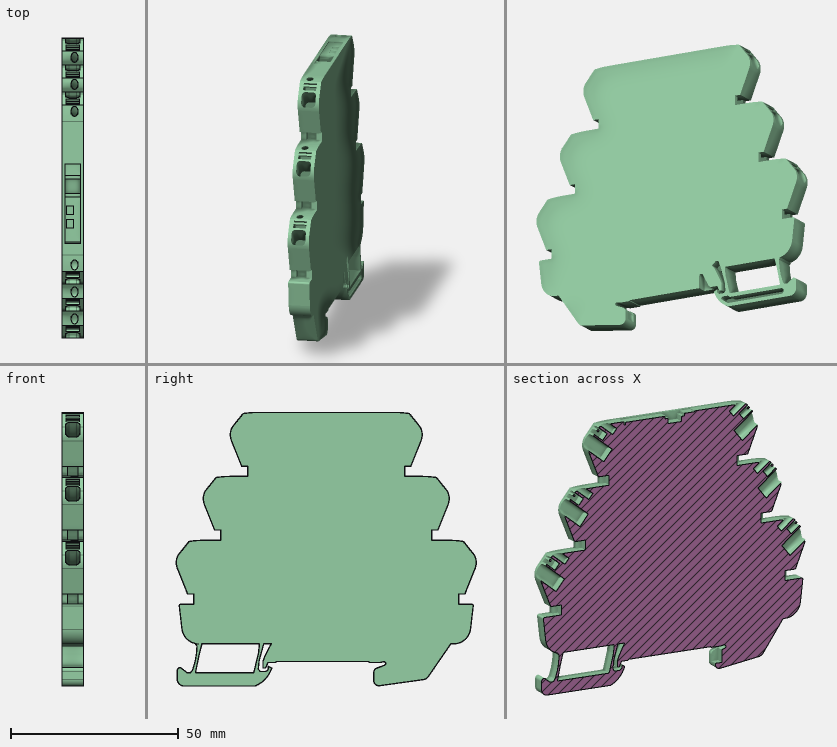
import cadquery as cq
import math

LENGTH = 89.4
HEIGHT = 81.5
THICKNESS = 6.4

TIER_COUNT = 3
TIER_DROP = 19.0
TIER_STEP = 8.0
TIER_DEPTH = 16.1
CROWN_INSET = 8.8
CROWN_DROP = 0.4
CHAMFER_TOP_INSET = 3.8
CHAMFER_END_INSET = 0.6
CHAMFER_END_DROP = 4.4
NOSE_DROP = 6.6
NOSE_END_INSET = 0.4
NOSE_END_DROP = 8.5
FOOT_INSET = 3.4
NECK_INSET = 5.2
NECK_SLOT_WIDTH = 3.1
NECK_SLOT_DEPTH = 1.8

BEVEL_RUN = CHAMFER_TOP_INSET - CHAMFER_END_INSET
BEVEL_FALL = CHAMFER_END_DROP - CROWN_DROP
BEVEL_LENGTH = math.hypot(BEVEL_RUN, BEVEL_FALL)
WIRE_WIDTH = 4.3
WIRE_HEIGHT = 4.4
WIRE_CORNER = 1.1
WIRE_DEPTH = 8.0
WIRE_POSITION = 5.6
LATCH_WIDTH = 3.9
LATCH_HEIGHT = 2.3
LATCH_DEPTH = 3.6
LATCH_POSITION = 1.7
LATCH_BAR = 0.6
LATCH_BAR_DEPTH = 0.7
LATCH_BAR_RISE = 0.4
DRIVER_DIAMETER = 2.1
DRIVER_DEPTH = 5.4
DRIVER_INSET = 6.0
DRIVER_OFFSET_X = 0.5
CUTTER_LEAD = 2.7

BASE_TOP = HEIGHT - TIER_COUNT * TIER_DROP
BASE_BOTTOM = 12.5
BASE_HALF = 43.8
BASE_CORNER = 0.5

HOOK_TIP = 14.1
HOOK_SLOT_WIDTH = 3.2
HOOK_SLOT_DEPTH = 2.2
HOOK_SLOT_FLOOR = 2.0
HOOK_SLOT_TOP = 6.7

SIDE_RECESS = 3.2

COVER_WIDTH = 4.5
COVER_FRONT = -16.5
COVER_BACK = 7.15
COVER_RECESS = 0.3
COVER_GAP = 0.45
WINDOW_FRONT = -1.6
WINDOW_BACK = 2.8
WINDOW_DEPTH = 2.7
WINDOW_LEDGE = 1.0
WINDOW_LEDGE_DEPTH = 0.8
LAMP_WIDTH = 2.0
LAMP_LENGTH = 2.5
LAMP_RECESS = 0.1
LAMP_X = -0.8
LAMP_CENTRES = (-6.6, -10.6)


def side_plane():
    """Sketch plane on the -X face with local axes Y and Z, extruding toward +X."""
    return cq.Workplane("YZ", origin=(-THICKNESS / 2, 0, 0))


def block(x_size, y_front, y_back, z_bottom, z_top, x_centre=0.0):
    """Box between the given Y and Z limits, centred on x_centre."""
    size = (x_size, y_back - y_front, z_top - z_bottom)
    return (
        cq.Workplane("XY")
        .box(*size)
        .translate((x_centre, (y_front + y_back) / 2, (z_bottom + z_top) / 2))
    )


def tier(half, top):
    """One tier with its neck, symmetric about Y = 0."""
    return (
        side_plane()
        .moveTo(0, top)
        .lineTo(half - CROWN_INSET, top)
        .tangentArcPoint((half - CHAMFER_TOP_INSET, top - CROWN_DROP), relative=False)
        .lineTo(half - CHAMFER_END_INSET, top - CHAMFER_END_DROP)
        .threePointArc((half, top - NOSE_DROP), (half - NOSE_END_INSET, top - NOSE_END_DROP))
        .lineTo(half - FOOT_INSET, top - TIER_DEPTH)
        .lineTo(half - NECK_INSET, top - TIER_DEPTH)
        .lineTo(half - NECK_INSET, top - TIER_DROP)
        .lineTo(0, top - TIER_DROP)
        .mirrorY()
        .extrude(THICKNESS)
    )


def base_block():
    """Widest part of the housing, with rounded lower corners."""
    return (
        side_plane()
        .moveTo(0, BASE_TOP)
        .lineTo(BASE_HALF - BASE_CORNER, BASE_TOP)
        .tangentArcPoint((BASE_HALF, BASE_TOP - BASE_CORNER), relative=False)
        .lineTo(43.0, 16.9)
        .threePointArc((41.4, 13.85), (38.0, BASE_BOTTOM))
        .lineTo(0, BASE_BOTTOM)
        .mirrorY()
        .extrude(THICKNESS)
    )


def rail_foot():
    """Lower body with the fixed rail hook at +Y and the clip stop at -Y."""
    return (
        side_plane()
        .moveTo(37.1, BASE_BOTTOM)
        .lineTo(30.6, 3.0)
        .threePointArc((29.9, 2.3), (29.0, 1.9))
        .lineTo(16.1, 0.1)
        .threePointArc((14.7, 0.45), (HOOK_TIP, 1.6))
        .lineTo(HOOK_TIP, 3.9)
        .threePointArc((14.4, 4.8), (15.1, 5.4))
        .lineTo(17.2, 6.2)
        .threePointArc((17.7, 6.7), (17.2, 7.2))
        .lineTo(16.1, 7.0)
        .lineTo(12.7, 7.0)
        .lineTo(12.7, 7.2)
        .lineTo(-14.9, 7.2)
        .lineTo(-14.9, 7.0)
        .lineTo(-17.3, 7.0)
        .lineTo(-18.05, 5.4)
        .lineTo(-18.9, 5.4)
        .lineTo(-18.9, 7.4)
        .lineTo(-18.3, 8.85)
        .lineTo(-16.4, BASE_BOTTOM)
        .close()
        .extrude(THICKNESS)
    )


def hook_slot():
    """Slot open toward the rail, dividing the hook tip into two prongs."""
    return block(
        HOOK_SLOT_WIDTH, HOOK_TIP, HOOK_TIP + HOOK_SLOT_DEPTH, HOOK_SLOT_FLOOR, HOOK_SLOT_TOP
    )


def clip():
    """Spring clip: foot bar with a lip and a grip, held by two thin struts."""
    bar_top = 4.0
    bar = (
        side_plane()
        .moveTo(-16.2, 5.4)
        .lineTo(-17.3, 5.9)
        .lineTo(-17.3, 5.0)
        .threePointArc((-17.7, 4.6), (-18.2, 4.4))
        .lineTo(-19.7, 4.4)
        .lineTo(-20.3, bar_top)
        .lineTo(-41.5, bar_top)
        .lineTo(-43.4, 5.5)
        .threePointArc((-44.15, 5.2), (-44.4, 4.4))
        .lineTo(-44.4, 2.0)
        .threePointArc((-44.0, 0.8), (-42.6, 0))
        .lineTo(-21.1, 0)
        .threePointArc((-18.1, 2.1), (-16.2, 5.4))
        .close()
        .extrude(THICKNESS)
    )
    inner_strut = (
        side_plane()
        .moveTo(-18.6, BASE_BOTTOM)
        .lineTo(-19.9, 7.7)
        .lineTo(-20.2, 5.0)
        .lineTo(-19.7, 4.4)
        .lineTo(-20.3, 3.6)
        .lineTo(-21.8, 3.6)
        .lineTo(-21.45, 4.65)
        .lineTo(-20.2, 9.8)
        .lineTo(-19.9, BASE_BOTTOM)
        .close()
        .extrude(THICKNESS)
    )
    outer_strut = (
        side_plane()
        .moveTo(-37.0, BASE_BOTTOM)
        .lineTo(-38.0, 8.6)
        .lineTo(-38.9, bar_top)
        .lineTo(-40.4, bar_top)
        .lineTo(-39.9, 4.7)
        .threePointArc((-38.9, 8.2), (-38.5, 11.9))
        .lineTo(-39.0, BASE_BOTTOM)
        .close()
        .extrude(THICKNESS)
    )
    return bar.union(inner_strut).union(outer_strut)


def side_recesses():
    """Blind recesses in the -X face around the clip."""
    bar_channel = (
        side_plane()
        .moveTo(-18.7, 2.7)
        .lineTo(-18.8, 3.1)
        .lineTo(-19.3, 3.4)
        .lineTo(-21.0, 3.4)
        .lineTo(-21.7, 2.9)
        .lineTo(-39.2, 2.9)
        .threePointArc((-40.1, 2.0), (-39.2, 1.1))
        .lineTo(-21.0, 1.1)
        .close()
        .extrude(SIDE_RECESS)
    )
    slot_end = (
        side_plane()
        .moveTo(-16.4, BASE_BOTTOM)
        .lineTo(-15.55, 13.7)
        .lineTo(-16.9, 14.8)
        .lineTo(-17.7, 14.75)
        .lineTo(-18.6, BASE_BOTTOM)
        .close()
        .extrude(SIDE_RECESS)
    )
    wedge = (
        side_plane()
        .moveTo(-11.2, 7.15)
        .lineTo(-11.2, 11.0)
        .threePointArc((-11.7, 11.6), (-12.4, 11.3))
        .lineTo(-14.6, 7.15)
        .close()
        .extrude(SIDE_RECESS)
    )
    return bar_channel.union(slot_end).union(wedge)


def neck_slot(half, top):
    """Central slot running into the -Y neck below a tier."""
    neck = half - NECK_INSET
    return block(
        NECK_SLOT_WIDTH, -neck, NECK_SLOT_DEPTH - neck, top - TIER_DROP, top - TIER_DEPTH
    )


def terminal_cutter(half, top):
    """Wire entry, latch pocket and screwdriver hole of the -Y end, all square to the bevel."""

    def bevel_plane(distance, lead):
        """Plane on the bevel line, a distance below its upper edge, facing into the housing."""
        along = distance / BEVEL_LENGTH
        normal_y = BEVEL_FALL / BEVEL_LENGTH
        normal_z = -BEVEL_RUN / BEVEL_LENGTH
        origin = (
            0,
            CHAMFER_TOP_INSET - half - BEVEL_RUN * along - normal_y * lead,
            top - CROWN_DROP - BEVEL_FALL * along - normal_z * lead,
        )
        return cq.Workplane(cq.Plane(origin, xDir=(1, 0, 0), normal=(0, normal_y, normal_z)))

    wire_profile = cq.Sketch().rect(WIRE_WIDTH, WIRE_HEIGHT).vertices().fillet(WIRE_CORNER)
    wire = (
        bevel_plane(WIRE_POSITION, CUTTER_LEAD)
        .placeSketch(wire_profile)
        .extrude(CUTTER_LEAD + WIRE_DEPTH)
    )
    latch = bevel_plane(LATCH_POSITION, 0).rect(LATCH_WIDTH, LATCH_HEIGHT).extrude(LATCH_DEPTH)
    bar_position = LATCH_POSITION - LATCH_BAR_RISE
    bar = bevel_plane(bar_position, 0).rect(LATCH_WIDTH, LATCH_BAR).extrude(LATCH_BAR_DEPTH)
    driver_distance = (CHAMFER_TOP_INSET - DRIVER_INSET) * BEVEL_RUN / BEVEL_LENGTH
    driver = (
        bevel_plane(driver_distance, CUTTER_LEAD)
        .center(DRIVER_OFFSET_X, 0)
        .circle(DRIVER_DIAMETER / 2)
        .extrude(CUTTER_LEAD + DRIVER_DEPTH)
    )
    return wire.union(latch.cut(bar)).union(driver)


def cover_recess():
    """Shallow cover panel with a stepped window, an end gap and two lamp fields."""
    floor = HEIGHT - COVER_RECESS
    ledge = floor - WINDOW_LEDGE_DEPTH
    window_floor = HEIGHT - WINDOW_DEPTH
    panel = block(COVER_WIDTH, COVER_FRONT, COVER_BACK, floor, HEIGHT)
    step = block(COVER_WIDTH, WINDOW_FRONT - WINDOW_LEDGE, WINDOW_BACK + WINDOW_LEDGE, ledge, HEIGHT)
    window = block(COVER_WIDTH, WINDOW_FRONT, WINDOW_BACK, window_floor, HEIGHT)
    gap = block(COVER_WIDTH, COVER_FRONT, COVER_FRONT + COVER_GAP, ledge, HEIGHT)
    cutter = panel.union(step).union(window).union(gap)
    for centre in LAMP_CENTRES:
        front = centre - LAMP_LENGTH / 2
        lamp = block(LAMP_WIDTH, front, front + LAMP_LENGTH, floor - LAMP_RECESS, HEIGHT, LAMP_X)
        cutter = cutter.union(lamp)
    return cutter


result = base_block().union(rail_foot().cut(hook_slot())).union(clip())

tiers = []
for index in range(TIER_COUNT):
    tier_half = LENGTH / 2 - (TIER_COUNT - 1 - index) * TIER_STEP
    tier_top = HEIGHT - index * TIER_DROP
    tiers.append((tier_half, tier_top))
    result = result.union(tier(tier_half, tier_top))

for tier_half, tier_top in tiers:
    end_cutter = terminal_cutter(tier_half, tier_top).union(neck_slot(tier_half, tier_top))
    result = result.cut(end_cutter).cut(end_cutter.mirror("XZ"))

result = result.cut(side_recesses()).cut(cover_recess())